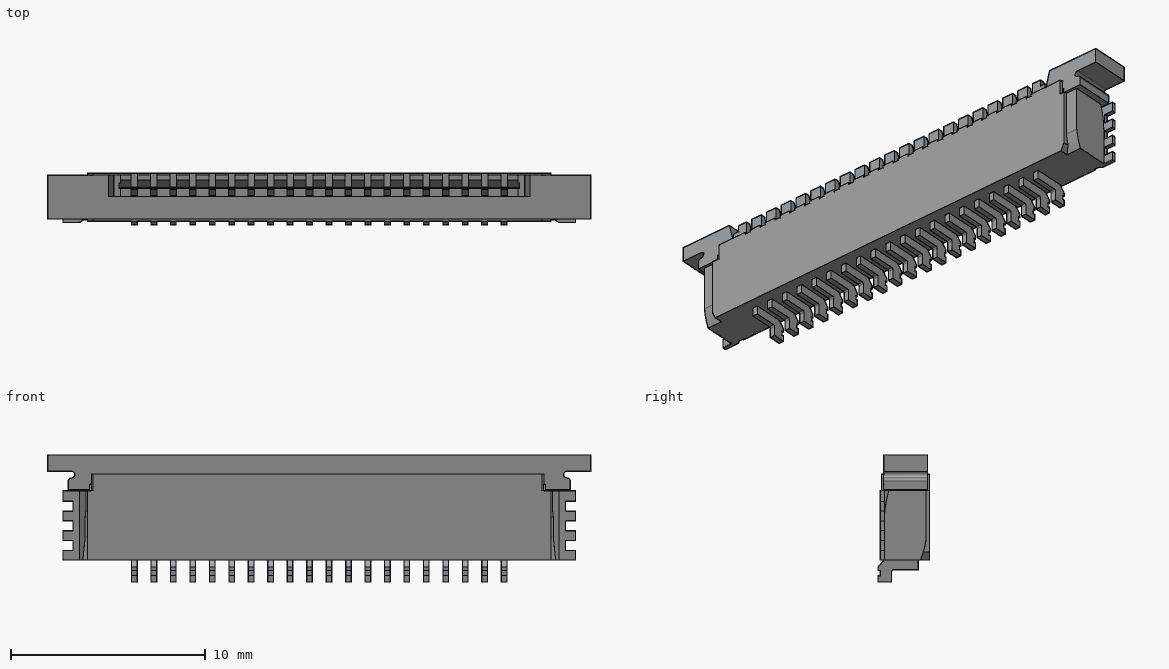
import cadquery as cq


housing_half_length = 11.9
housing_depth = 2.48
housing_top = 4.42
shoulder_z = 3.58
upper_left_x = -11.63
upper_right_x = 11.46
back_chamfer = (0.2, 0.41)

end_half_length = 12.6
end_back_y = -0.19
end_front_y = -2.33
end_front_bottom_y = -2.42
end_back_bottom_y = -0.48
end_back_curve_z = 1.05
end_front_top_y = -2.1
end_front_curve_z = 2.2
end_front_flat_z = 1.2
arc_bulge = 0.04

slider_half_length = 13.96
slider_top = 5.42
slider_back_y = -0.1
slider_front_y = -2.37
flange_bottom = 4.57
notch_radius = 0.17
ear_half_length = 12.91
ear_radius = 0.17
ear_bottom = 3.63
ear_gap = 0.08
ear_relief = 0.08
ear_relief_top = 3.9

opening_front_y = -1.2
opening_half_top = 10.83
opening_half_bottom = 10.58

comb_top = 5.12
comb_half_length = 10.54
teeth_half_length = 10.22
comb_step_z = 4.75
cable_slot_back_y = -0.36
cable_slot_front_y = -0.8
cable_slot_half_length = 10.28
cable_slot_floor = 1.5
lead_in_end_y = -0.73
lead_in_bottom = 4.25
comb_slot_width = 0.34
comb_slot_floor = 4.3
throat_back_y = -0.85
throat_front_y = -1.15
throat_floor = 3.6

contact_count = 20
contact_pitch = 1.0
contact_width = 0.3
contact_back_y = -0.68
lead_back_y = -0.58
lead_arm_bottom = -0.5
lead_bottom = -1.13
lead_foot_back_y = -1.95
lead_front_y = -2.66
lead_bend_start_y = -2.36
lead_bend_radius = 0.08
lead_groove_depth = 0.11
lead_groove_top = -0.54
lead_groove_bottom = -0.79
lead_bump_top = -0.36

tab_inner = 12.32
tab_outer = 13.18
tab_back_y = -2.33
tab_front_y = -2.55
tab_slot_bottom_x = 12.66
tab_slot_count = 3
tab_slot_height = 0.5
tab_slot_pitch = 1.01
tab_first_slot_z = 0.76
tab_bend_end = 11.99
tab_bend_y = -2.3


def box(x0, x1, y0, y1, z0, z1):
    size = (abs(x1 - x0), abs(y1 - y0), abs(z1 - z0))
    corner = (min(x0, x1), min(y0, y1), min(z0, z1))
    return cq.Workplane("XY").box(*size, centered=False).translate(corner)


def centred_box(half_length, y0, y1, z0, z1):
    return box(-half_length, half_length, y0, y1, z0, z1)


def both_sides(solid):
    return solid.union(solid.mirror("YZ"))


def contact_places():
    first = -contact_pitch * (contact_count - 1) / 2
    return [(first + i * contact_pitch, 0, 0) for i in range(contact_count)]


def at_contacts(solid):
    copies = [solid.translate(place).val() for place in contact_places()]
    return cq.Workplane("XY").newObject(copies).combine()


def extrude_along_x(profile, half_length):
    return profile.extrude(half_length, both=True)


def make_end_blocks():
    front_mid_y = (end_front_top_y + end_front_y) / 2 - arc_bulge
    front_mid_z = (shoulder_z + end_front_curve_z) / 2
    back_mid_y = (end_back_bottom_y + end_back_y) / 2 + arc_bulge
    profile = (
        cq.Workplane("YZ")
        .moveTo(end_back_y, shoulder_z)
        .lineTo(end_front_top_y, shoulder_z)
        .threePointArc((front_mid_y, front_mid_z), (end_front_y, end_front_curve_z))
        .lineTo(end_front_y, end_front_flat_z)
        .lineTo(end_front_bottom_y, 0)
        .lineTo(end_back_bottom_y, 0)
        .threePointArc((back_mid_y, end_back_curve_z / 2), (end_back_y, end_back_curve_z))
        .close()
    )
    return extrude_along_x(profile, end_half_length)


def make_housing():
    centre = centred_box(housing_half_length, 0, -housing_depth, 0, shoulder_z)
    chamfer_x, chamfer_z = back_chamfer
    corner = (
        cq.Workplane("XZ")
        .moveTo(housing_half_length - chamfer_x, 0)
        .lineTo(housing_half_length, 0)
        .lineTo(housing_half_length, chamfer_z)
        .close()
        .extrude(-end_back_bottom_y)
    )
    centre = centre.cut(both_sides(corner))
    upper = box(upper_left_x, upper_right_x, 0, -housing_depth, shoulder_z, housing_top)
    core_left_x = upper_left_x - ear_gap
    core_right_x = upper_right_x + ear_gap
    core = box(core_left_x, core_right_x, end_back_y, end_front_y, shoulder_z, housing_top)
    return centre.union(upper).union(core).union(make_end_blocks())


def make_slider_half(ear_inner):
    """The +X half of the slider, with its ear starting at ear_inner."""
    notch_centre_x = ear_half_length - ear_radius
    notch_floor = (notch_centre_x - notch_radius, flange_bottom - notch_radius)
    ear_top = flange_bottom - 2 * notch_radius
    return (
        cq.Workplane("XZ")
        .moveTo(0, slider_top)
        .lineTo(slider_half_length, slider_top)
        .lineTo(slider_half_length, flange_bottom)
        .lineTo(notch_centre_x, flange_bottom)
        .threePointArc(notch_floor, (notch_centre_x, ear_top))
        .radiusArc((ear_half_length, ear_top - ear_radius), ear_radius)
        .lineTo(ear_half_length, ear_bottom)
        .lineTo(ear_inner + ear_relief, ear_bottom)
        .lineTo(ear_inner + ear_relief, ear_relief_top)
        .lineTo(ear_inner, ear_relief_top)
        .lineTo(ear_inner, housing_top)
        .lineTo(0, housing_top)
        .close()
        .extrude(slider_back_y - slider_front_y)
        .translate((0, slider_back_y, 0))
    )


def make_slider():
    right_half = make_slider_half(upper_right_x + ear_gap)
    left_half = make_slider_half(ear_gap - upper_left_x).mirror("YZ")
    opening = (
        cq.Workplane("XZ")
        .moveTo(-opening_half_top, slider_top)
        .lineTo(opening_half_top, slider_top)
        .lineTo(opening_half_bottom, housing_top)
        .lineTo(-opening_half_bottom, housing_top)
        .close()
        .extrude(-opening_front_y)
    )
    return right_half.union(left_half).cut(opening)


def make_comb():
    teeth = centred_box(teeth_half_length, slider_back_y, opening_front_y, housing_top, comb_top)
    base = centred_box(comb_half_length, slider_back_y, opening_front_y, housing_top, comb_step_z)
    return teeth.union(base)


def make_cable_slot():
    """Slot that takes the cable: upright tongue, back wall with a sloping lead-in."""
    profile = (
        cq.Workplane("YZ")
        .moveTo(cable_slot_back_y, comb_top)
        .lineTo(cable_slot_front_y, comb_top)
        .lineTo(cable_slot_front_y, cable_slot_floor)
        .lineTo(lead_in_end_y, lead_in_bottom)
        .close()
    )
    return extrude_along_x(profile, cable_slot_half_length)


def make_comb_slots():
    half_width = comb_slot_width / 2
    slot = centred_box(half_width, 0, opening_front_y, comb_slot_floor, comb_top)
    throat = (
        cq.Workplane("YZ")
        .moveTo(throat_back_y, comb_slot_floor)
        .lineTo(throat_front_y, comb_slot_floor)
        .lineTo(throat_front_y, throat_floor)
        .close()
    )
    return at_contacts(slot.union(extrude_along_x(throat, half_width)))


def make_contact_arms():
    arm = centred_box(comb_slot_width / 2, slider_back_y, contact_back_y, 0, comb_slot_floor)
    return at_contacts(arm)


def make_leads():
    groove_y = lead_front_y + lead_groove_depth
    profile = (
        cq.Workplane("YZ")
        .moveTo(lead_back_y, 0)
        .lineTo(lead_bend_start_y, 0)
        .lineTo(lead_front_y, lead_bump_top)
        .lineTo(lead_front_y, lead_groove_top)
        .lineTo(groove_y, lead_groove_top)
        .lineTo(groove_y, lead_groove_bottom)
        .lineTo(lead_front_y, lead_groove_bottom)
        .lineTo(lead_front_y, lead_bottom)
        .lineTo(lead_foot_back_y, lead_bottom)
        .lineTo(lead_foot_back_y, lead_arm_bottom - lead_bend_radius)
        .radiusArc((lead_foot_back_y + lead_bend_radius, lead_arm_bottom), lead_bend_radius)
        .lineTo(lead_back_y, lead_arm_bottom)
        .close()
    )
    return at_contacts(extrude_along_x(profile, contact_width / 2))


def make_solder_tabs():
    tab = box(tab_inner, tab_outer, tab_back_y, tab_front_y, 0, shoulder_z)
    for i in range(tab_slot_count):
        z = tab_first_slot_z - tab_slot_height / 2 + i * tab_slot_pitch
        slot = box(tab_slot_bottom_x, tab_outer, tab_back_y, tab_front_y, z, z + tab_slot_height)
        tab = tab.cut(slot)
    bend = (
        cq.Workplane("XY")
        .moveTo(tab_inner, tab_front_y)
        .lineTo(tab_inner, end_front_top_y)
        .lineTo(tab_bend_end, end_front_top_y)
        .lineTo(tab_bend_end, tab_bend_y)
        .close()
        .extrude(shoulder_z)
    )
    return both_sides(tab.union(bend))


body = make_housing().union(make_slider()).union(make_comb())
body = body.cut(make_cable_slot()).cut(make_comb_slots())
result = body.union(make_contact_arms()).union(make_leads()).union(make_solder_tabs())